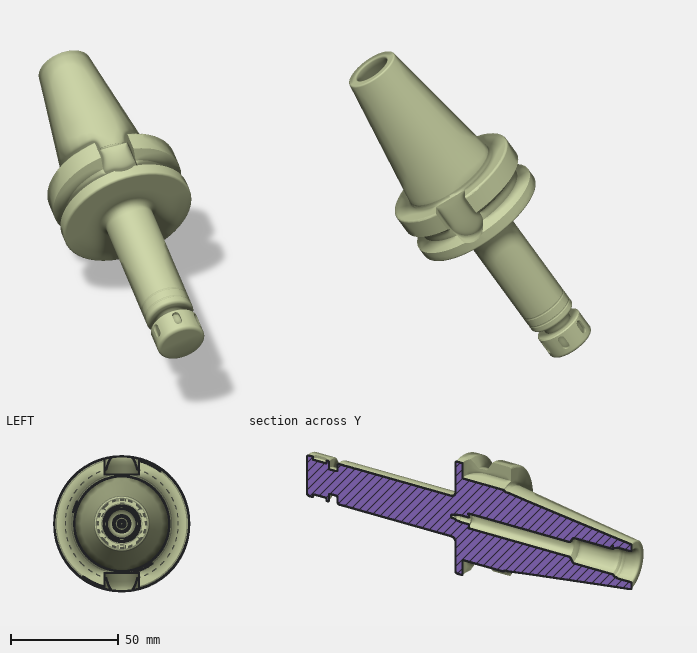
import cadquery as cq
import math

LENGTH = 170.4
TAPER_LENGTH = 65.5
TAPER_END_DIAMETER = 44.5
TAPER_END_RADIUS = TAPER_END_DIAMETER / 2
TAPER_RATE = 7 / 48
TAPER_TIP_RADIUS = TAPER_END_RADIUS - TAPER_RATE * TAPER_LENGTH
TIP_FILLET = 0.9
NECK_RADIUS = 22.2
NECK_FILLET = 1.2

FLANGE_START = 67.3
FLANGE_END = 92.5
FLANGE_RADIUS = 31.5
FLANGE_FILLET = 1.0
GROOVE_CENTER = 82.0
GROOVE_FLOOR_WIDTH = 4.1
GROOVE_FLOOR_RADIUS = 26.4
GROOVE_HALF_ANGLE = 30.0
DRIVE_SLOT_WIDTH = 16.0
DRIVE_SLOT_END = 88.6
DRIVE_SLOT_FLOOR = 23.0

SHANK_DIAMETER = 23.0
SHANK_RADIUS = SHANK_DIAMETER / 2
SHANK_END = 154.4
SHANK_ROOT_FILLET = 2.4
SHANK_END_FILLET = 1.4
RING_STARTS = (145.4, 150.1)
RING_WIDTH = 1.0
RING_DEPTH = 0.2

STEM_RADIUS = 7.0
STEM_FILLET = 0.9
NUT_START = 158.6
NUT_RADIUS = SHANK_RADIUS
NUT_BACK_CHAMFER = 0.5
NUT_FRONT_FILLET = 1.5
NUT_SLOT_COUNT = 6
NUT_SLOT_CENTER = 163.5
NUT_SLOT_LENGTH = 7.0
NUT_SLOT_WIDTH = 3.5
NUT_SLOT_DEPTH = 1.7

MOUTH_FILLET = 0.9
PILOT_RADIUS = 8.5
PILOT_DEPTH = 7.5
RELIEF_RADIUS = 8.0
RELIEF_START = 8.3
RELIEF_DEPTH = 9.0
TAP_RADIUS = 7.0
TAP_DEPTH = 30.7
FEED_DIAMETER = 8.0
FEED_RADIUS = FEED_DIAMETER / 2
FEED_DEPTH = 85.2
DRILL_POINT_HALF_ANGLE = 59.0

SCREW_CHAMFER = 0.7
SOCKET_DIAMETER = 3.5
SOCKET_RADIUS = SOCKET_DIAMETER / 2
SOCKET_DEPTH = 5.1
SOCKET_STEP_RADIUS = 1.5
SOCKET_STEP_DEPTH = 1.7
TIP_HOLE_RADIUS = 0.9
TIP_HOLE_DEPTH = 1.7


def arc_middle(center_x, center_r, radius, angle):
    """Point on a circle, used as the middle of a fillet arc."""
    turn = math.radians(angle)
    return center_x + radius * math.cos(turn), center_r + radius * math.sin(turn)


def drill_point_length(start_radius, end_radius):
    """Length of a drill-point cone between two radii."""
    return (start_radius - end_radius) / math.tan(math.radians(DRILL_POINT_HALF_ANGLE))


def make_body():
    """Turned outside of the holder, with the half profile drawn as (x, radius)."""
    groove_floor_start = GROOVE_CENTER - GROOVE_FLOOR_WIDTH / 2
    groove_floor_end = GROOVE_CENTER + GROOVE_FLOOR_WIDTH / 2
    groove_side = (FLANGE_RADIUS - GROOVE_FLOOR_RADIUS) * math.tan(math.radians(GROOVE_HALF_ANGLE))
    taper_angle = math.atan(TAPER_RATE)
    tip_tangent = TIP_FILLET * math.tan((math.pi / 2 - taper_angle) / 2)
    tip_fillet_end = tip_tangent * math.cos(taper_angle)
    flange_fillet_center = FLANGE_RADIUS - FLANGE_FILLET
    front_arc = arc_middle(FLANGE_START + FLANGE_FILLET, flange_fillet_center, FLANGE_FILLET, 135)
    back_arc = arc_middle(FLANGE_END - FLANGE_FILLET, flange_fillet_center, FLANGE_FILLET, 45)
    stem_arc = arc_middle(SHANK_END + STEM_FILLET, STEM_RADIUS + STEM_FILLET, STEM_FILLET, 225)
    neck_arc = arc_middle(FLANGE_START - NECK_FILLET, NECK_RADIUS + NECK_FILLET, NECK_FILLET, -45)
    root_arc = arc_middle(
        FLANGE_END + SHANK_ROOT_FILLET, SHANK_RADIUS + SHANK_ROOT_FILLET, SHANK_ROOT_FILLET, 225
    )
    shank_arc = arc_middle(
        SHANK_END - SHANK_END_FILLET, SHANK_RADIUS - SHANK_END_FILLET, SHANK_END_FILLET, 45
    )
    nut_arc = arc_middle(LENGTH - NUT_FRONT_FILLET, NUT_RADIUS - NUT_FRONT_FILLET, NUT_FRONT_FILLET, 45)

    profile = (
        cq.Workplane("XY")
        .moveTo(0, 0)
        .lineTo(0, TAPER_TIP_RADIUS - tip_tangent)
        .tangentArcPoint((tip_fillet_end, TAPER_TIP_RADIUS + TAPER_RATE * tip_fillet_end), relative=False)
        .lineTo(TAPER_LENGTH, TAPER_END_RADIUS)
        .lineTo(TAPER_LENGTH, NECK_RADIUS)
        .lineTo(FLANGE_START - NECK_FILLET, NECK_RADIUS)
        .threePointArc(neck_arc, (FLANGE_START, NECK_RADIUS + NECK_FILLET))
        .lineTo(FLANGE_START, flange_fillet_center)
        .threePointArc(front_arc, (FLANGE_START + FLANGE_FILLET, FLANGE_RADIUS))
        .lineTo(groove_floor_start - groove_side, FLANGE_RADIUS)
        .lineTo(groove_floor_start, GROOVE_FLOOR_RADIUS)
        .lineTo(groove_floor_end, GROOVE_FLOOR_RADIUS)
        .lineTo(groove_floor_end + groove_side, FLANGE_RADIUS)
        .lineTo(FLANGE_END - FLANGE_FILLET, FLANGE_RADIUS)
        .threePointArc(back_arc, (FLANGE_END, flange_fillet_center))
        .lineTo(FLANGE_END, SHANK_RADIUS + SHANK_ROOT_FILLET)
        .threePointArc(root_arc, (FLANGE_END + SHANK_ROOT_FILLET, SHANK_RADIUS))
        .lineTo(SHANK_END - SHANK_END_FILLET, SHANK_RADIUS)
        .threePointArc(shank_arc, (SHANK_END, SHANK_RADIUS - SHANK_END_FILLET))
        .lineTo(SHANK_END, STEM_RADIUS + STEM_FILLET)
        .threePointArc(stem_arc, (SHANK_END + STEM_FILLET, STEM_RADIUS))
        .lineTo(NUT_START, STEM_RADIUS)
        .lineTo(NUT_START, NUT_RADIUS - NUT_BACK_CHAMFER)
        .lineTo(NUT_START + NUT_BACK_CHAMFER, NUT_RADIUS)
        .lineTo(LENGTH - NUT_FRONT_FILLET, NUT_RADIUS)
        .threePointArc(nut_arc, (LENGTH, NUT_RADIUS - NUT_FRONT_FILLET))
        .lineTo(LENGTH, 0)
        .close()
    )
    return profile.revolve(360, (0, 0, 0), (1, 0, 0))


def make_bore():
    """Stepped blind bore from the taper tip down to the socket of the screw."""
    mouth_arc = arc_middle(MOUTH_FILLET, PILOT_RADIUS + MOUTH_FILLET, MOUTH_FILLET, 225)
    tap_start = RELIEF_DEPTH + RELIEF_RADIUS - TAP_RADIUS
    feed_start = TAP_DEPTH + drill_point_length(TAP_RADIUS, FEED_RADIUS)
    socket_end = FEED_DEPTH + SOCKET_DEPTH
    socket_step_start = socket_end + drill_point_length(SOCKET_RADIUS, SOCKET_STEP_RADIUS)
    socket_step_end = socket_step_start + SOCKET_STEP_DEPTH
    tip_hole_start = socket_step_end + drill_point_length(SOCKET_STEP_RADIUS, TIP_HOLE_RADIUS)
    tip_hole_end = tip_hole_start + TIP_HOLE_DEPTH

    profile = (
        cq.Workplane("XY")
        .moveTo(0, 0)
        .lineTo(0, PILOT_RADIUS + MOUTH_FILLET)
        .threePointArc(mouth_arc, (MOUTH_FILLET, PILOT_RADIUS))
        .lineTo(PILOT_DEPTH, PILOT_RADIUS)
        .lineTo(RELIEF_START, RELIEF_RADIUS)
        .lineTo(RELIEF_DEPTH, RELIEF_RADIUS)
        .lineTo(tap_start, TAP_RADIUS)
        .lineTo(TAP_DEPTH, TAP_RADIUS)
        .lineTo(feed_start, FEED_RADIUS)
        .lineTo(FEED_DEPTH + SCREW_CHAMFER, FEED_RADIUS)
        .lineTo(FEED_DEPTH, FEED_RADIUS - SCREW_CHAMFER)
        .lineTo(FEED_DEPTH, SOCKET_RADIUS)
        .lineTo(socket_end, SOCKET_RADIUS)
        .lineTo(socket_step_start, SOCKET_STEP_RADIUS)
        .lineTo(socket_step_end, SOCKET_STEP_RADIUS)
        .lineTo(tip_hole_start, TIP_HOLE_RADIUS)
        .lineTo(tip_hole_end, TIP_HOLE_RADIUS)
        .lineTo(tip_hole_end + drill_point_length(TIP_HOLE_RADIUS, 0), 0)
        .close()
    )
    return profile.revolve(360, (0, 0, 0), (1, 0, 0))


def make_ring_groove(start):
    """Shallow groove with an arc-shaped floor, turned into the shank."""
    return (
        cq.Workplane("XY")
        .moveTo(start, SHANK_RADIUS)
        .threePointArc(
            (start + RING_WIDTH / 2, SHANK_RADIUS - RING_DEPTH),
            (start + RING_WIDTH, SHANK_RADIUS),
        )
        .lineTo(start + RING_WIDTH, SHANK_RADIUS + RING_DEPTH)
        .lineTo(start, SHANK_RADIUS + RING_DEPTH)
        .close()
        .revolve(360, (0, 0, 0), (1, 0, 0))
    )


def make_drive_slot():
    """Round-ended drive slot, open towards the taper, cut down from the top."""
    end_radius = DRIVE_SLOT_WIDTH / 2
    arc_start = DRIVE_SLOT_END - end_radius
    return (
        cq.Workplane("XY", origin=(0, 0, DRIVE_SLOT_FLOOR))
        .moveTo(TAPER_LENGTH, -end_radius)
        .lineTo(arc_start, -end_radius)
        .threePointArc((DRIVE_SLOT_END, 0), (arc_start, end_radius))
        .lineTo(TAPER_LENGTH, end_radius)
        .close()
        .extrude(FLANGE_RADIUS - DRIVE_SLOT_FLOOR)
    )


def make_nut_slot():
    """Flat-bottomed wrench slot in the top of the nut."""
    return (
        cq.Workplane("XY", origin=(NUT_SLOT_CENTER, 0, NUT_RADIUS - NUT_SLOT_DEPTH))
        .slot2D(NUT_SLOT_LENGTH, NUT_SLOT_WIDTH)
        .extrude(2 * NUT_SLOT_DEPTH)
    )


def turned(shape, angle):
    """Copy of a shape turned about the part's axis."""
    return shape.rotate((0, 0, 0), (1, 0, 0), angle)


result = make_body().cut(make_bore())

for ring_start in RING_STARTS:
    result = result.cut(make_ring_groove(ring_start))

for angle in (0, 180):
    result = result.cut(turned(make_drive_slot(), angle))

for index in range(NUT_SLOT_COUNT):
    result = result.cut(turned(make_nut_slot(), index * 360 / NUT_SLOT_COUNT))